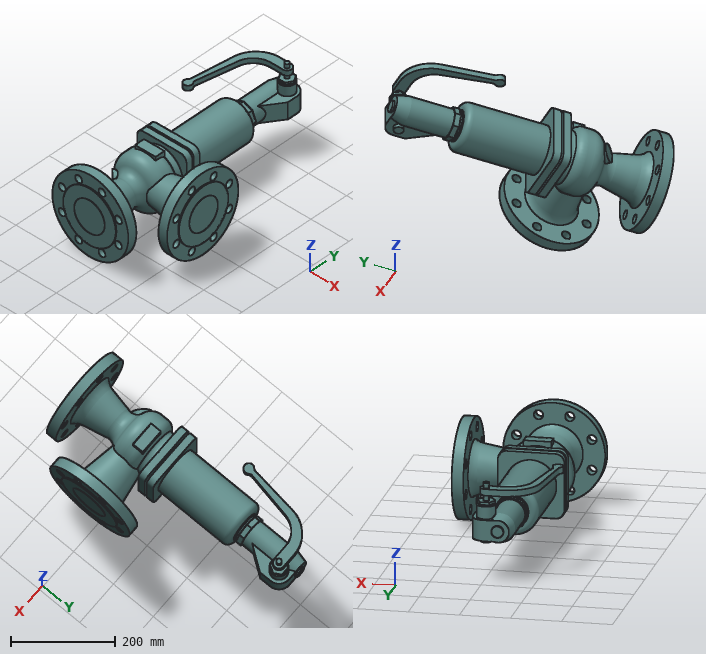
import math

import cadquery as cq


FACE_DISTANCE = 155.0
FLANGE_RADIUS = 100.0
FLANGE_THICKNESS = 25.5
RAISED_FACE_RADIUS = 69.0
RAISED_FACE_HEIGHT = 2.5
BORE_RADIUS = 40.0
BORE_DEPTH = 0.5
BOLT_CIRCLE_RADIUS = 80.0
BOLT_HOLE_DIAMETER = 18.0
BOLT_COUNT = 8
FLANGE_BACK = FACE_DISTANCE - FLANGE_THICKNESS

BODY_TOP = 48.0
NECK_ROOT = (55.0, BODY_TOP)
NECK_WAIST_RADIUS = 52.0
NECK_WAIST_TOP = 40.5
NECK_WAIST_BOTTOM = 37.0
NECK_END = (54.0, 32.0)
BULB_RADIUS = 66.5
BULB_TOP = 12.0
BULB_BOTTOM = -4.0
BULB_END = (47.4, -32.0)
INLET_THROAT = (34.8, -61.5)
INLET_HUB = (44.8, -109.5)
HUB_ROOT_RADIUS = 56.6

OUTLET_START = (10.0, 32.2)
OUTLET_HUB = (113.5, 49.3)
OUTLET_ROOT_RADIUS = 56.5

DRAIN_DIAMETER = 38.0
DRAIN_FACE_X = -47.7
DRAIN_FACE_Y = -39.5
DRAIN_LENGTH = 40.0

PLATE_LENGTH = 54.0
PLATE_WIDTH = 25.0
PLATE_CENTER_Y = 14.2
PLATE_TOP = 70.3
PLATE_BASE = 50.0

SQUARE_SIDE = 130.0
SQUARE_CORNER = 17.0
SQUARE_THICKNESS = 16.2
GASKET_RADIUS = 54.0
GASKET_THICKNESS = 4.3
GASKET_BOTTOM = BODY_TOP + SQUARE_THICKNESS
GASKET_TOP = GASKET_BOTTOM + GASKET_THICKNESS
BONNET_BOTTOM = GASKET_TOP + SQUARE_THICKNESS

BONNET_RADIUS = 50.0
BONNET_TOP = 259.0
BONNET_ROUND = 12.0
COLLAR_RADIUS = 32.0
COLLAR_HEIGHT = 1.3
THREAD_RADIUS = 28.3
NUT_BOTTOM = 265.0
NUT_TOP = 277.5
NUT_SIDES = 8
NUT_CORNER_RADIUS = 32.7

CAP_RADIUS = 28.9
CAP_TAPER_START = 368.5
CAP_TOP = 395.5
CAP_TOP_RADIUS = 22.3
BUTTON_RADIUS = 11.7
BUTTON_TOP = 399.5

PIVOT_X = 27.8
EAR_RADIUS = 26.1
PIVOT_Y = CAP_TOP - EAR_RADIUS
EAR_HALF_THICKNESS = 21.0
EAR_SLOPE_TOP = 344.0
EAR_SLOPE_BOTTOM = (19.7, 295.0)

PIVOT_BOSS_RADIUS = 18.5
PIVOT_BOSS_TOP = 45.8
PIVOT_WASHER_RADIUS = 14.5
PIVOT_WASHER_TOP = 48.2
PIVOT_NUT_SIDES = 6
PIVOT_NUT_FLATS = 31.0
PIVOT_NUT_TOP = 54.0
SHAFT_RADIUS = 5.5
SHAFT_TOP = 89.3
PIVOT_FOOT_RADIUS = 10.0
PIVOT_FOOT_BOTTOM = -28.7

LEVER_BOTTOM = 66.2
LEVER_THICKNESS = 12.8
LEVER_EYE_RADIUS = 11.8
OUTER_BEND_RADIUS = 66.0
OUTER_BEND_X = -3.0
OUTER_LEAN = 7.3
INNER_BEND_RADIUS = 48.5
INNER_BEND_X = -4.7
INNER_LEAN = 10.7
KNOB_X = -78.0
KNOB_Y = 204.3
KNOB_RADIUS = 10.5
KNOB_BLEND = 10.0


def disc_along_y(radius, bottom, top):
    """Cylinder about the Y axis."""
    return cq.Workplane("XZ", origin=(0, bottom, 0)).circle(radius).extrude(bottom - top)


def disc_on_pivot(radius, bottom, top):
    """Cylinder about the lever pivot, parallel to Z."""
    return cq.Workplane("XY", origin=(PIVOT_X, PIVOT_Y, bottom)).circle(radius).extrude(top - bottom)


def pipe_flange():
    """Flange about Z with its sealing face at Z = FACE_DISTANCE."""
    plate_thickness = FLANGE_THICKNESS - RAISED_FACE_HEIGHT
    bolt_pattern_start = 180.0 / BOLT_COUNT
    return (
        cq.Workplane("XY", origin=(0, 0, FLANGE_BACK))
        .circle(FLANGE_RADIUS)
        .extrude(plate_thickness)
        .faces(">Z")
        .workplane()
        .circle(RAISED_FACE_RADIUS)
        .extrude(RAISED_FACE_HEIGHT)
        .faces(">Z")
        .workplane()
        .circle(BORE_RADIUS)
        .cutBlind(-BORE_DEPTH)
        .faces(">Z")
        .workplane()
        .polarArray(BOLT_CIRCLE_RADIUS, bolt_pattern_start, 360, BOLT_COUNT)
        .hole(BOLT_HOLE_DIAMETER)
    )


def arc_middle(start, end):
    """Middle of an arc that leaves start parallel to Y, with start and end as (radius, Y)."""
    drop = start[0] - end[0]
    rise = end[1] - start[1]
    arc_radius = (drop ** 2 + rise ** 2) / (2 * drop)
    half_angle = math.atan2(drop, abs(rise))
    return (
        start[0] - arc_radius * (1 - math.cos(half_angle)),
        start[1] + math.copysign(arc_radius * math.sin(half_angle), rise),
    )


def cast_body():
    """Neck, bulb and inlet hub turned about the Y axis."""
    waist_top = (NECK_WAIST_RADIUS, NECK_WAIST_TOP)
    bulb_upper = (BULB_RADIUS, BULB_TOP)
    bulb_lower = (BULB_RADIUS, BULB_BOTTOM)
    return (
        cq.Workplane("XY")
        .moveTo(0, BODY_TOP)
        .lineTo(*NECK_ROOT)
        .threePointArc(arc_middle(waist_top, NECK_ROOT), waist_top)
        .lineTo(NECK_WAIST_RADIUS, NECK_WAIST_BOTTOM)
        .tangentArcPoint(NECK_END, relative=False)
        .threePointArc(arc_middle(bulb_upper, NECK_END), bulb_upper)
        .lineTo(*bulb_lower)
        .threePointArc(arc_middle(bulb_lower, BULB_END), BULB_END)
        .tangentArcPoint(INLET_THROAT, relative=False)
        .lineTo(*INLET_HUB)
        .tangentArcPoint((HUB_ROOT_RADIUS, -FLANGE_BACK), relative=False)
        .lineTo(0, -FLANGE_BACK)
        .close()
        .revolve(360, (0, 0, 0), (0, 1, 0))
    )


def outlet_branch():
    """Widening branch turned about the X axis."""
    return (
        cq.Workplane("XY")
        .moveTo(OUTLET_START[0], 0)
        .lineTo(*OUTLET_START)
        .lineTo(*OUTLET_HUB)
        .tangentArcPoint((FLANGE_BACK, OUTLET_ROOT_RADIUS), relative=False)
        .lineTo(FLANGE_BACK, 0)
        .close()
        .revolve(360, (0, 0, 0), (1, 0, 0))
    )


def drain_boss():
    """Plain round boss running into the body from its flat face."""
    face = cq.Plane(origin=(DRAIN_FACE_X, DRAIN_FACE_Y, 0), xDir=(0, 0, 1), normal=(1, 1, 0))
    return cq.Workplane(face).circle(DRAIN_DIAMETER / 2).extrude(DRAIN_LENGTH)


def name_plate():
    return (
        cq.Workplane("XY", origin=(0, PLATE_CENTER_Y, PLATE_BASE))
        .rect(PLATE_LENGTH, PLATE_WIDTH)
        .extrude(PLATE_TOP - PLATE_BASE)
    )


def square_flange(bottom):
    return (
        cq.Workplane("XZ", origin=(0, bottom, 0))
        .rect(SQUARE_SIDE, SQUARE_SIDE)
        .extrude(-SQUARE_THICKNESS)
        .edges("|Y")
        .fillet(SQUARE_CORNER)
    )


def bonnet():
    return disc_along_y(BONNET_RADIUS, BONNET_BOTTOM, BONNET_TOP).faces(">Y").edges().fillet(BONNET_ROUND)


def lock_nut():
    return (
        cq.Workplane("XZ", origin=(0, NUT_BOTTOM, 0))
        .polygon(NUT_SIDES, 2 * NUT_CORNER_RADIUS)
        .extrude(NUT_BOTTOM - NUT_TOP)
    )


def cap():
    """Cap with a tapered crown and a small button on top."""
    return (
        cq.Workplane("XY")
        .moveTo(0, NUT_TOP)
        .lineTo(CAP_RADIUS, NUT_TOP)
        .lineTo(CAP_RADIUS, CAP_TAPER_START)
        .lineTo(CAP_TOP_RADIUS, CAP_TOP)
        .lineTo(BUTTON_RADIUS, CAP_TOP)
        .lineTo(BUTTON_RADIUS, BUTTON_TOP)
        .lineTo(0, BUTTON_TOP)
        .close()
        .revolve(360, (0, 0, 0), (0, 1, 0))
    )


def ear():
    """Thick lug beside the cap that carries the lever pivot."""
    ear_right = PIVOT_X + EAR_RADIUS
    corner_offset = EAR_RADIUS * math.sqrt(0.5)
    return (
        cq.Workplane("XY", origin=(0, 0, -EAR_HALF_THICKNESS))
        .moveTo(0, CAP_TOP)
        .lineTo(PIVOT_X, CAP_TOP)
        .threePointArc((PIVOT_X + corner_offset, PIVOT_Y + corner_offset), (ear_right, PIVOT_Y))
        .lineTo(ear_right, EAR_SLOPE_TOP)
        .lineTo(*EAR_SLOPE_BOTTOM)
        .lineTo(0, EAR_SLOPE_BOTTOM[1])
        .close()
        .extrude(2 * EAR_HALF_THICKNESS)
    )


def pivot_stack():
    """Boss, washer, hexagon nut and shaft stacked on the pivot axis."""
    nut_corner_diameter = PIVOT_NUT_FLATS / math.cos(math.pi / PIVOT_NUT_SIDES)
    nut = (
        cq.Workplane("XY", origin=(PIVOT_X, PIVOT_Y, PIVOT_WASHER_TOP))
        .polygon(PIVOT_NUT_SIDES, nut_corner_diameter)
        .extrude(PIVOT_NUT_TOP - PIVOT_WASHER_TOP)
    )
    return (
        disc_on_pivot(PIVOT_BOSS_RADIUS, 0, PIVOT_BOSS_TOP)
        .union(disc_on_pivot(PIVOT_FOOT_RADIUS, PIVOT_FOOT_BOTTOM, 0))
        .union(disc_on_pivot(PIVOT_WASHER_RADIUS, PIVOT_BOSS_TOP, PIVOT_WASHER_TOP))
        .union(nut)
        .union(disc_on_pivot(SHAFT_RADIUS, PIVOT_NUT_TOP, SHAFT_TOP))
    )


def bend_point(center_x, center_y, radius, angle):
    """Point on a lever bend, with the angle in degrees above the -X direction."""
    turn = math.radians(angle)
    return (center_x - radius * math.cos(turn), center_y + radius * math.sin(turn))


def leaning_end(start, lean):
    """Where a straight lever edge from start reaches the height of the knob center."""
    return (start[0] - (start[1] - KNOB_Y) * math.tan(math.radians(lean)), KNOB_Y)


def lever():
    """Flat hooked lever with a round eye and a round knob."""
    top_y = PIVOT_Y + LEVER_EYE_RADIUS
    bottom_y = PIVOT_Y - LEVER_EYE_RADIUS
    outer_bend = (OUTER_BEND_X, top_y - OUTER_BEND_RADIUS, OUTER_BEND_RADIUS)
    inner_bend = (INNER_BEND_X, bottom_y - INNER_BEND_RADIUS, INNER_BEND_RADIUS)
    outer_middle = bend_point(*outer_bend, (90 + OUTER_LEAN) / 2)
    inner_middle = bend_point(*inner_bend, (90 + INNER_LEAN) / 2)
    outer_end = bend_point(*outer_bend, OUTER_LEAN)
    inner_end = bend_point(*inner_bend, INNER_LEAN)
    arm = (
        cq.Workplane("XY", origin=(0, 0, LEVER_BOTTOM))
        .moveTo(PIVOT_X, top_y)
        .lineTo(OUTER_BEND_X, top_y)
        .threePointArc(outer_middle, outer_end)
        .lineTo(*leaning_end(outer_end, OUTER_LEAN))
        .lineTo(*leaning_end(inner_end, INNER_LEAN))
        .lineTo(*inner_end)
        .threePointArc(inner_middle, (INNER_BEND_X, bottom_y))
        .lineTo(PIVOT_X, bottom_y)
        .threePointArc((PIVOT_X + LEVER_EYE_RADIUS, PIVOT_Y), (PIVOT_X, top_y))
        .close()
        .extrude(LEVER_THICKNESS)
    )
    knob = (
        cq.Workplane("XY", origin=(KNOB_X, KNOB_Y, LEVER_BOTTOM))
        .circle(KNOB_RADIUS)
        .extrude(LEVER_THICKNESS)
    )
    above_knob_center = cq.selectors.BoxSelector(
        (KNOB_X - KNOB_RADIUS, KNOB_Y + KNOB_RADIUS / 4, LEVER_BOTTOM),
        (KNOB_X + KNOB_RADIUS, KNOB_Y + KNOB_RADIUS, LEVER_BOTTOM + LEVER_THICKNESS),
    )
    return arm.union(knob).edges("|Z").edges(above_knob_center).fillet(KNOB_BLEND)


inlet_flange = pipe_flange().rotate((0, 0, 0), (1, 0, 0), 90)
outlet_flange = pipe_flange().rotate((0, 0, 0), (0, 1, 0), 90)

features = [
    inlet_flange,
    outlet_flange,
    outlet_branch(),
    drain_boss(),
    name_plate(),
    square_flange(BODY_TOP),
    disc_along_y(GASKET_RADIUS, GASKET_BOTTOM, GASKET_TOP),
    square_flange(GASKET_TOP),
    bonnet(),
    disc_along_y(COLLAR_RADIUS, BONNET_TOP, BONNET_TOP + COLLAR_HEIGHT),
    disc_along_y(THREAD_RADIUS, BONNET_TOP, NUT_BOTTOM),
    lock_nut(),
    cap(),
    ear(),
    pivot_stack(),
    lever(),
]

result = cast_body()
for feature in features:
    result = result.union(feature)